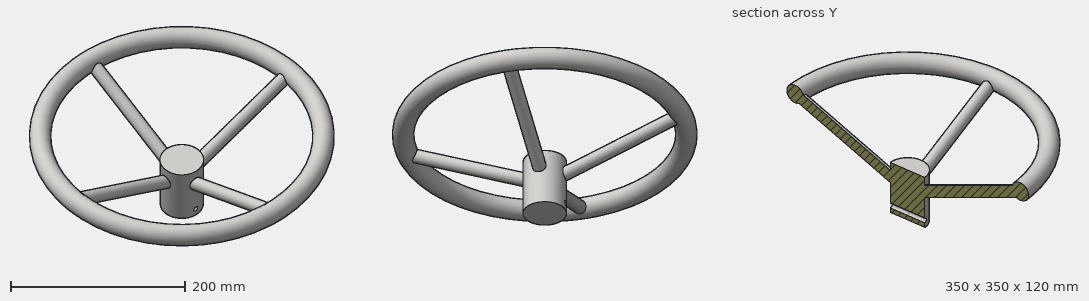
import cadquery as cq

wheel_diameter = 350.0
overall_height = 120.0
rim_tube_diameter = 25.0
hub_diameter = 50.0
hub_height = 70.0
spoke_diameter = 16.0
spoke_count = 4
spoke_root_height = 40.0
pin_hole_diameter = 6.0
pin_hole_height = 9.8

rim_tube_radius = rim_tube_diameter / 2
rim_radius = wheel_diameter / 2 - rim_tube_radius
rim_height = overall_height - rim_tube_radius


def make_rim():
    """Round tube ring whose face seams run along its top and between two spokes."""
    section_plane = cq.Plane(origin=(rim_radius, 0, rim_height), xDir=(0, 0, 1), normal=(0, 1, 0))
    ring = (
        cq.Workplane(section_plane)
        .circle(rim_tube_radius)
        .revolve(360, (0, -rim_radius), (1, -rim_radius))
    )
    half_pitch = 180 / spoke_count
    return ring.rotate((0, 0, 0), (0, 0, 1), half_pitch)


def make_hub():
    """Upright cylinder standing on the XY plane."""
    return cq.Workplane("XY").circle(hub_diameter / 2).extrude(hub_height)


def make_spoke(angle):
    """Round bar rising from the hub axis to the centre of the rim tube."""
    root = cq.Vector(0, 0, spoke_root_height)
    tip = cq.Vector(rim_radius, 0, rim_height)
    axis = tip - root
    bar = cq.Solid.makeCylinder(spoke_diameter / 2, axis.Length, root, axis)
    return bar.rotate(cq.Vector(0, 0, 0), cq.Vector(0, 0, 1), angle)


def make_pin_hole():
    """Cross hole along X, right through the hub."""
    return (
        cq.Workplane("YZ", origin=(0, 0, pin_hole_height))
        .circle(pin_hole_diameter / 2)
        .extrude(hub_diameter, both=True)
    )


result = make_hub()
for index in range(spoke_count):
    spoke_angle = index * 360 / spoke_count
    result = result.union(make_spoke(spoke_angle), clean=False)
result = result.union(make_rim(), clean=False).cut(make_pin_hole(), clean=False)